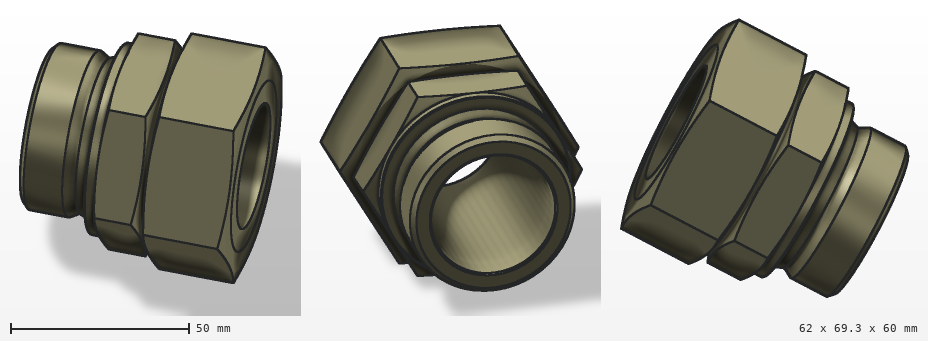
import cadquery as cq
import math


THREAD_END = 12.75
RELIEF_FLOOR = 15.7
SEAL_NOSE = 16.2
COLLAR_FACE = 20.0
HEX_FACE = 23.0
HEX_BACK = 35.95
NUT_FACE = 37.9
OVERALL_LENGTH = 62.0

STUD_RADIUS = 23.9
STUD_CHAMFER = 1.5
RELIEF_RADIUS = 22.4
RELIEF_FILLET = 1.5
RELIEF_ANGLE = 30
COLLAR_CHAMFER = 0.3
BODY_FLATS = 55.0
COLLAR_RADIUS = BODY_FLATS / 2
NECK_RADIUS = 24.5
NECK_FILLET = 1.05
BORE_RADIUS = 18.0
BORE_CHAMFER = 0.5

SEAL_NOSE_THICKNESS = 0.09
SEAL_ANGLE = 20

NUT_FLATS = 60.0
NUT_FACE_INSET = 0.3

HEX_CHAMFER_ANGLE = 15


def turned(profile):
    """Solid of revolution about X from a closed X-radius profile."""
    return profile.close().revolve(360, (0, 0, 0), (1, 0, 0))


def bar(radius, start, end):
    """Round bar along X."""
    return cq.Workplane("YZ").workplane(offset=start).circle(radius).extrude(end - start)


def chamfered_hexagon(flats, start, end, front_radius, back_radius):
    """Hexagonal prism along X with corners on the Y axis and both ends turned to a cone."""
    corner_radius = flats / math.sqrt(3)
    slope = math.tan(math.radians(HEX_CHAMFER_ANGLE))
    front_depth = (corner_radius - front_radius) * slope
    back_depth = (corner_radius - back_radius) * slope
    prism = (
        cq.Workplane("YZ").workplane(offset=start)
        .polygon(6, 2 * corner_radius).extrude(end - start)
    )
    envelope = turned(
        cq.Workplane("XY")
        .moveTo(start, 0)
        .lineTo(start, front_radius)
        .lineTo(start + front_depth, corner_radius)
        .lineTo(end - back_depth, corner_radius)
        .lineTo(end, back_radius)
        .lineTo(end, 0)
    )
    return prism.intersect(envelope)


def make_stud():
    """Stud end: tip chamfer, thread diameter, relief and collar."""
    angle = math.radians(RELIEF_ANGLE)
    fillet_start = RELIEF_FLOOR - RELIEF_FILLET * math.sin(angle)
    fillet_middle = RELIEF_FLOOR - RELIEF_FILLET * math.sin(angle / 2)
    fillet_start_radius = RELIEF_RADIUS + RELIEF_FILLET * (1 - math.cos(angle))
    fillet_middle_radius = RELIEF_RADIUS + RELIEF_FILLET * (1 - math.cos(angle / 2))
    return turned(
        cq.Workplane("XY")
        .moveTo(0, 0)
        .lineTo(0, STUD_RADIUS - STUD_CHAMFER)
        .lineTo(STUD_CHAMFER, STUD_RADIUS)
        .lineTo(THREAD_END, STUD_RADIUS)
        .lineTo(fillet_start, fillet_start_radius)
        .threePointArc((fillet_middle, fillet_middle_radius), (RELIEF_FLOOR, RELIEF_RADIUS))
        .lineTo(COLLAR_FACE, RELIEF_RADIUS)
        .lineTo(COLLAR_FACE, COLLAR_RADIUS - COLLAR_CHAMFER)
        .lineTo(COLLAR_FACE + COLLAR_CHAMFER, COLLAR_RADIUS)
        .lineTo(HEX_FACE, COLLAR_RADIUS)
        .lineTo(HEX_FACE, 0)
    )


def make_neck():
    """Round neck behind the hexagon, filleted at its root and running through the nut."""
    fillet_end = HEX_BACK + NECK_FILLET
    fillet_reach = NECK_FILLET * (1 - math.sqrt(0.5))
    return turned(
        cq.Workplane("XY")
        .moveTo(HEX_BACK, 0)
        .lineTo(HEX_BACK, NECK_RADIUS + NECK_FILLET)
        .threePointArc(
            (HEX_BACK + fillet_reach, NECK_RADIUS + fillet_reach),
            (fillet_end, NECK_RADIUS),
        )
        .lineTo(OVERALL_LENGTH, NECK_RADIUS)
        .lineTo(OVERALL_LENGTH, 0)
    )


def make_bore():
    """Through bore with a chamfered mouth at the stud tip."""
    return turned(
        cq.Workplane("XY")
        .moveTo(0, 0)
        .lineTo(0, BORE_RADIUS + BORE_CHAMFER)
        .lineTo(BORE_CHAMFER, BORE_RADIUS)
        .lineTo(OVERALL_LENGTH, BORE_RADIUS)
        .lineTo(OVERALL_LENGTH, 0)
    )


def make_fitting_body():
    hexagon = chamfered_hexagon(BODY_FLATS, HEX_FACE, HEX_BACK, COLLAR_RADIUS, COLLAR_RADIUS)
    return make_stud().union(hexagon).union(make_neck()).cut(make_bore())


def make_sealing_ring():
    """Tapered ring on the relief floor, seated against the collar."""
    nose_radius = RELIEF_RADIUS + SEAL_NOSE_THICKNESS
    rise = (COLLAR_FACE - SEAL_NOSE) * math.tan(math.radians(SEAL_ANGLE))
    return turned(
        cq.Workplane("XY")
        .moveTo(SEAL_NOSE, RELIEF_RADIUS)
        .lineTo(SEAL_NOSE, nose_radius)
        .lineTo(COLLAR_FACE, nose_radius + rise)
        .lineTo(COLLAR_FACE, RELIEF_RADIUS)
    )


def make_union_nut():
    """Hexagonal nut fitting closely around the neck of the fitting body."""
    flat_radius = NUT_FLATS / 2
    hexagon = chamfered_hexagon(
        NUT_FLATS, NUT_FACE, OVERALL_LENGTH, flat_radius - NUT_FACE_INSET, flat_radius
    )
    return hexagon.cut(bar(NECK_RADIUS, NUT_FACE, OVERALL_LENGTH))


fitting_body = make_fitting_body()
sealing_ring = make_sealing_ring()
union_nut = make_union_nut()

result = cq.Compound.makeCompound([
    fitting_body.solids().val(),
    sealing_ring.solids().val(),
    union_nut.solids().val(),
])